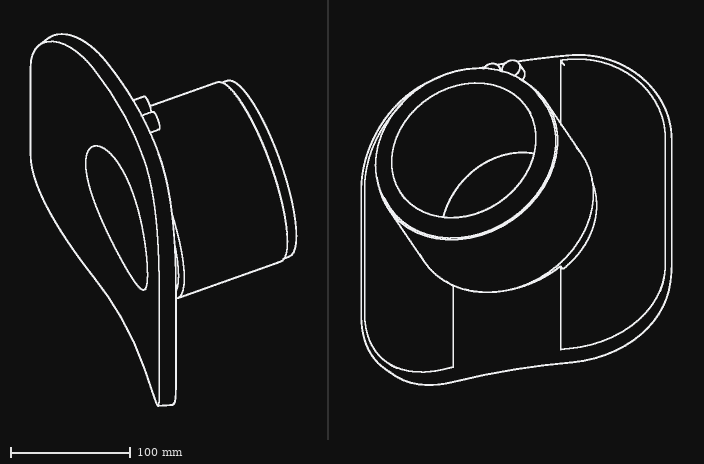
import cadquery as cq
import math

plate_height = 290.0
plate_thickness = 14.2
inner_radius = 357.5
plate_half_width = 133.0
outer_radius = inner_radius + plate_thickness
axis_y = -outer_radius
half_angle = math.asin(plate_half_width / inner_radius)
corner_radius = 83.5
rim_fillet = 3.5

recess_depth = 5.8
rim_width = 5.5
rib_half_width = 47.5
floor_fillet = 2.0
floor_radius = outer_radius - recess_depth

bore_diameter = 128.0
neck_diameter = 152.0
tube_diameter = 160.0
tip_diameter = 157.0
neck_end = 3.2
cone_end = 5.2
tube_start = 6.7
tip_start = 101.5
tube_end = 110.8
tip_fillet = 1.0
tube_root_cover = 3.5

pin_diameter = 16.0
pin_spacing = 17.7
pin_z = 130.2
pin_end = 12.2

CORNER_POINTS = 9

CUTTER_NEAR = inner_radius * 0.85
CUTTER_FAR = outer_radius * 1.05


def bent_outline(distance, inset):
    """Rounded rectangle of the plate, cast radially onto the plane at this distance from the bend axis."""
    half_arc = inner_radius * half_angle - inset
    half_height = plate_height / 2 - inset
    radius = corner_radius - inset

    def point(arc_length, z):
        return cq.Vector(distance * math.tan(arc_length / inner_radius), axis_y + distance, z)

    def corner(side_x, side_z, start_angle):
        points = []
        for i in range(CORNER_POINTS):
            angle = math.radians(start_angle + 90 * i / (CORNER_POINTS - 1))
            arc_length = side_x * (half_arc - radius) + radius * math.cos(angle)
            points.append(point(arc_length, side_z * (half_height - radius) + radius * math.sin(angle)))
        return points

    corners = [corner(1, 1, 0), corner(-1, 1, 90), corner(-1, -1, 180), corner(1, -1, 270)]
    edges = []
    for i, points in enumerate(corners):
        next_start = corners[(i + 1) % len(corners)][0]
        edges.append(cq.Edge.makeSpline(points))
        edges.append(cq.Edge.makeLine(points[-1], next_start))
    return cq.Wire.assembleEdges(edges)


def radial_prism(inset):
    """Solid whose side walls all point at the bend axis."""
    wires = [bent_outline(distance, inset) for distance in (CUTTER_NEAR, CUTTER_FAR)]
    return cq.Workplane(obj=cq.Solid.makeLoft(wires, True))


def bend_cylinder(radius):
    return cq.Workplane("XY").center(0, axis_y).circle(radius).extrude(plate_height, both=True)


def make_plate():
    plate = radial_prism(0).intersect(bend_cylinder(outer_radius))
    outer_face = cq.selectors.NearestToPointSelector((0, 0, 0))
    plate = plate.faces(outer_face).edges().fillet(rim_fillet)
    return plate.cut(bend_cylinder(inner_radius))


def make_recesses():
    rib = cq.Workplane("XY").box(2 * rib_half_width, 4 * outer_radius, 2 * plate_height)
    recesses = radial_prism(rim_width).cut(bend_cylinder(floor_radius)).cut(rib)
    for side in (-1, 1):
        floor_angle = side * half_angle / 2
        floor_point = (floor_radius * math.sin(floor_angle), axis_y + floor_radius * math.cos(floor_angle), 0)
        floor = cq.selectors.NearestToPointSelector(floor_point)
        recesses = cq.Workplane(obj=recesses.val())
        edges = recesses.solids(floor).faces(floor).edges().vals()
        recesses = recesses.newObject(edges).fillet(floor_fillet)
    return recesses


def make_tube():
    """Stepped tube rooted inside the plate, below the recess floor."""
    neck, body, tip = (d / 2 for d in (neck_diameter, tube_diameter, tip_diameter))
    profile = [
        (0, -2 * plate_thickness),
        (neck, -2 * plate_thickness),
        (neck, neck_end),
        (tip, cone_end),
        (body, tube_start),
        (body, tip_start),
        (tip, tip_start),
        (tip, tube_end),
        (0, tube_end),
    ]
    tube = cq.Workplane("XY").polyline(profile).close().revolve(360, (0, 0, 0), (0, 1, 0))
    tube = tube.faces(">Y").edges().fillet(tip_fillet)
    return tube.cut(bend_cylinder(inner_radius + tube_root_cover))


def make_pins():
    centers = [(side * pin_spacing / 2, pin_z) for side in (-1, 1)]
    start = -plate_thickness / 2
    pins = cq.Workplane("XZ", origin=(0, start, 0)).pushPoints(centers).circle(pin_diameter / 2)
    return pins.extrude(start - pin_end)


bore = cq.Workplane("XZ", origin=(0, tube_end, 0)).circle(bore_diameter / 2).extrude(2 * tube_end)
result = make_plate().cut(make_recesses()).union(make_tube()).union(make_pins()).cut(bore)